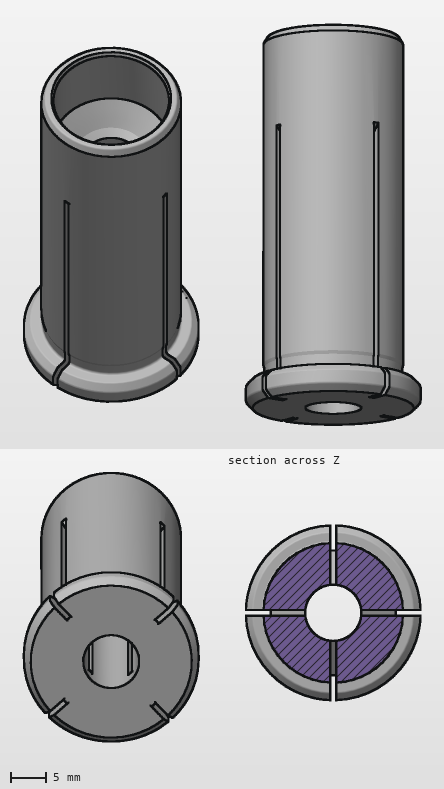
import cadquery as cq
import math

total_length = 54.0
body_radius = 20.0 / 2

flange_radius = 25.0 / 2
flange_height = 4.0
flange_chamfer = 1.0
edge_rounding = 0.4

undercut_depth = 0.13
undercut_end = 6.25
undercut_ramp_angle = math.radians(15)

lead_in_length = 1.0
lead_in_angle = math.radians(30)

socket_radius = 16.5 / 2
socket_floor = 44.0
socket_chamfer_width = 0.3
socket_chamfer_angle = math.radians(30)
funnel_radius = 10.5 / 2
funnel_angle = math.radians(45)
bore_radius = 8.0 / 2
bore_entry_angle = math.radians(60)

slot_count = 4
slot_width = 0.8
slot_top = 40.0
slot_top_at_bore = slot_top - (body_radius - bore_radius)
slot_bottom_angle = math.radians(35)
slot_bottom_at_bore = 3.45
slot_overrun = 1.0

selection_tolerance = 0.01


def revolve_profile(profile):
    """Turn an (r, z) profile around the Z axis."""
    return profile.close().revolve(360, (0, 0, 0), (0, 1, 0))


def ring_edge(solid, radius, height):
    """Select the circular edge with the given radius and height."""
    reach = radius + selection_tolerance
    lower_corner = (-reach, -reach, height - selection_tolerance)
    upper_corner = (reach, reach, height + selection_tolerance)
    level = solid.edges(cq.selectors.BoxSelector(lower_corner, upper_corner, boundingbox=True))
    return level.edges(cq.selectors.RadiusNthSelector(-1))


def make_outer_body():
    undercut_radius = body_radius - undercut_depth
    undercut_ramp_length = undercut_depth / math.tan(undercut_ramp_angle)
    flange_face_radius = flange_radius - flange_chamfer
    tip_radius = body_radius - lead_in_length * math.tan(lead_in_angle)
    body = revolve_profile(
        cq.Workplane("XZ")
        .moveTo(0, 0)
        .lineTo(flange_face_radius, 0)
        .lineTo(flange_radius, flange_chamfer)
        .lineTo(flange_radius, flange_height - flange_chamfer)
        .lineTo(flange_face_radius, flange_height)
        .lineTo(undercut_radius, flange_height)
        .lineTo(undercut_radius, undercut_end - undercut_ramp_length)
        .lineTo(body_radius, undercut_end)
        .lineTo(body_radius, total_length - lead_in_length)
        .lineTo(tip_radius, total_length)
        .lineTo(0, total_length)
    )
    rounded_rings = [
        (flange_radius, flange_chamfer),
        (flange_radius, flange_height - flange_chamfer),
        (flange_face_radius, flange_height),
        (undercut_radius, flange_height),
        (tip_radius, total_length),
    ]
    for radius, height in rounded_rings:
        body = ring_edge(body, radius, height).fillet(edge_rounding)
    return body


def make_bore():
    funnel_floor = socket_floor - (socket_radius - funnel_radius) / math.tan(funnel_angle)
    bore_start = funnel_floor - (funnel_radius - bore_radius) / math.tan(bore_entry_angle)
    socket_chamfer_length = socket_chamfer_width / math.tan(socket_chamfer_angle)
    return revolve_profile(
        cq.Workplane("XZ")
        .moveTo(0, 0)
        .lineTo(bore_radius, 0)
        .lineTo(bore_radius, bore_start)
        .lineTo(funnel_radius, funnel_floor)
        .lineTo(socket_radius, socket_floor)
        .lineTo(socket_radius, total_length - socket_chamfer_length)
        .lineTo(socket_radius + socket_chamfer_width, total_length)
        .lineTo(0, total_length)
    )


def make_slot():
    """One slot along +X, its ends sloping from the bore to the outside."""
    outer = flange_radius + slot_overrun
    bottom_run = (slot_bottom_at_bore + slot_overrun) / math.tan(slot_bottom_angle)
    return (
        cq.Workplane("XZ")
        .moveTo(0, slot_bottom_at_bore)
        .lineTo(bore_radius, slot_bottom_at_bore)
        .lineTo(bore_radius + bottom_run, -slot_overrun)
        .lineTo(outer, -slot_overrun)
        .lineTo(outer, slot_top)
        .lineTo(body_radius, slot_top)
        .lineTo(bore_radius, slot_top_at_bore)
        .lineTo(0, slot_top_at_bore)
        .close()
        .extrude(slot_width / 2, both=True)
    )


result = make_outer_body().cut(make_bore())

slot = make_slot()
for index in range(slot_count):
    result = result.cut(slot.rotate((0, 0, 0), (0, 0, 1), index * 360 / slot_count))